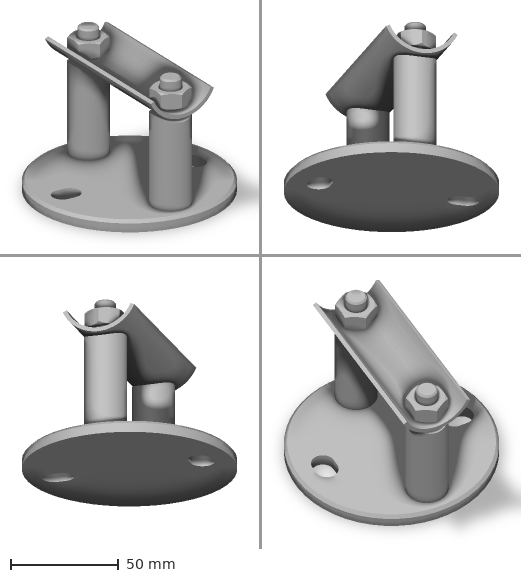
import cadquery as cq
import math

plate_diameter = 100.0
plate_thickness = 6.0
plate_chamfer = 1.5
slot_length = 15.0
slot_width = 11.0
slot_offset = 35.0

post_spacing = 70.0
post_diameter = 20.0
post_saddle_gap = 2.0
stud_diameter = 10.0
stud_length = 40.0
stud_top_z = 70.1
stud_chamfer_height = 0.9
stud_chamfer_width = 0.8

saddle_length = 90.0
saddle_bottom_z = 52.5
saddle_outer_radius = 19.2
saddle_thickness = 2.0
saddle_width = 35.0

nut_sides = 6
nut_across_flats = 17.0
nut_height = 8.0
nut_bottom_z = 56.8
nut_chamfer_angle = 30.0
nut_countersink_diameter = 11.6

post_positions = [-post_spacing / 2, post_spacing / 2]
stud_bottom_z = stud_top_z - stud_length
saddle_axis_z = saddle_bottom_z + saddle_outer_radius


def make_base_plate():
    """Round plate with a chamfered top rim and two slots at right angles to each other."""
    plate = cq.Workplane("XY").circle(plate_diameter / 2).extrude(plate_thickness)
    plate = plate.faces(">Z").edges().chamfer(plate_chamfer)
    cross_slot = cq.Workplane("XY").center(0, slot_offset).slot2D(slot_length, slot_width)
    radial_slot = cq.Workplane("XY").center(0, -slot_offset).slot2D(slot_length, slot_width, angle=90)
    return plate.cut(cross_slot.extrude(plate_thickness)).cut(radial_slot.extrude(plate_thickness))


def make_stud(x):
    """Plain stud with a chamfered top end."""
    stud = cq.Workplane("XY", origin=(x, 0, stud_bottom_z)).circle(stud_diameter / 2).extrude(stud_length)
    return stud.faces(">Z").edges().chamfer(stud_chamfer_height, stud_chamfer_width)


def make_post(x):
    """Round post with a top end hollowed concentric with the saddle and a blind hole that holds the stud."""
    hollow_radius = saddle_outer_radius + post_saddle_gap
    post = (
        cq.Workplane("XY", origin=(x, 0, plate_thickness))
        .circle(post_diameter / 2)
        .extrude(saddle_axis_z - plate_thickness)
    )
    hollow = (
        cq.Workplane("YZ", origin=(x, 0, saddle_axis_z))
        .circle(hollow_radius)
        .extrude(post_diameter / 2, both=True)
    )
    return post.cut(hollow).cut(make_stud(x))


def make_saddle():
    """Curved trough with a hole for each stud."""
    inner_radius = saddle_outer_radius - saddle_thickness
    half_angle = math.asin(saddle_width / 2 / saddle_outer_radius)

    def rim_point(radius, side):
        return (side * radius * math.sin(half_angle), -radius * math.cos(half_angle))

    saddle = (
        cq.Workplane("YZ", origin=(0, 0, saddle_axis_z))
        .moveTo(*rim_point(saddle_outer_radius, -1))
        .threePointArc((0, -saddle_outer_radius), rim_point(saddle_outer_radius, 1))
        .lineTo(*rim_point(inner_radius, 1))
        .threePointArc((0, -inner_radius), rim_point(inner_radius, -1))
        .close()
        .extrude(saddle_length / 2, both=True)
    )
    for x in post_positions:
        saddle = saddle.cut(make_stud(x))
    return saddle


def make_nut(x):
    """Hexagon nut, corners along X, chamfered outside and countersunk inside at both ends."""
    corner_radius = nut_across_flats / 2 / math.cos(math.pi / nut_sides)
    face_radius = nut_across_flats / 2
    bore_radius = stud_diameter / 2
    countersink_radius = nut_countersink_diameter / 2
    countersink_depth = countersink_radius - bore_radius
    corner_drop = (corner_radius - face_radius) * math.tan(math.radians(nut_chamfer_angle))

    hexagon = (
        cq.Workplane("XY", origin=(x, 0, nut_bottom_z))
        .polygon(nut_sides, 2 * corner_radius)
        .extrude(nut_height)
    )
    turned_profile = (
        cq.Workplane("XZ", origin=(x, 0, nut_bottom_z))
        .moveTo(countersink_radius, 0)
        .lineTo(face_radius, 0)
        .lineTo(corner_radius, corner_drop)
        .lineTo(corner_radius, nut_height - corner_drop)
        .lineTo(face_radius, nut_height)
        .lineTo(countersink_radius, nut_height)
        .lineTo(bore_radius, nut_height - countersink_depth)
        .lineTo(bore_radius, countersink_depth)
        .close()
        .revolve(360, (0, 0, 0), (0, 1, 0))
    )
    return hexagon.intersect(turned_profile)


base_plate = make_base_plate()
saddle = make_saddle()
posts = [make_post(x) for x in post_positions]
studs = [make_stud(x) for x in post_positions]
nuts = [make_nut(x) for x in post_positions]

repeated_bodies = [body.val() for body in posts + studs + nuts]
result = cq.Compound.makeCompound([base_plate.val(), saddle.val(), *repeated_bodies])